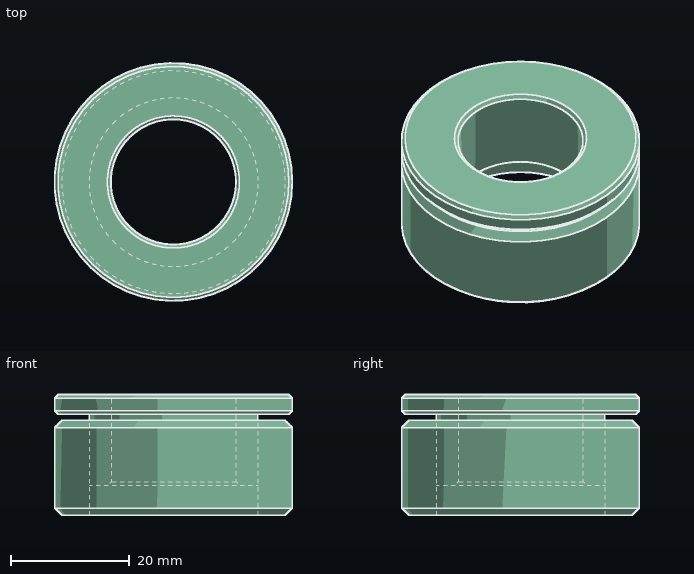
import cadquery as cq

outer_diameter = 40.0
total_height = 20.3
housing_height = 16.0
housing_chamfer = 1.25

flange_thickness = 3.35
flange_chamfer = 0.6
bore_diameter = 21.0
bore_chamfer = 0.6
sleeve_diameter = 28.4
sleeve_length = 11.9
flange_bottom = total_height - flange_thickness
sleeve_bottom = flange_bottom - sleeve_length


def make_housing():
    """Chamfered ring whose bore fits the bushing sleeve."""
    ring = cq.Workplane("XY").circle(outer_diameter / 2).extrude(housing_height)
    ring = ring.faces("<Z or >Z").edges().chamfer(housing_chamfer)
    sleeve_hole = cq.Workplane("XY").circle(sleeve_diameter / 2).extrude(housing_height)
    return ring.cut(sleeve_hole)


def make_bushing():
    """Sleeve with a flange on top and a through bore chamfered at both ends."""
    flange = (
        cq.Workplane("XY")
        .workplane(offset=flange_bottom)
        .circle(outer_diameter / 2)
        .extrude(flange_thickness)
    )
    flange = flange.faces("<Z or >Z").edges().chamfer(flange_chamfer)
    sleeve = (
        cq.Workplane("XY")
        .workplane(offset=sleeve_bottom)
        .circle(sleeve_diameter / 2)
        .extrude(sleeve_length)
    )
    bore = (
        cq.Workplane("XY")
        .workplane(offset=sleeve_bottom)
        .circle(bore_diameter / 2)
        .extrude(total_height - sleeve_bottom)
    )
    bushing = flange.union(sleeve).cut(bore)
    bore_rim = cq.selectors.RadiusNthSelector(0)
    return bushing.faces(">Z or <Z").edges(bore_rim).chamfer(bore_chamfer)


housing = make_housing()
bushing = make_bushing()
result = cq.Compound.makeCompound([housing.val(), bushing.val()])